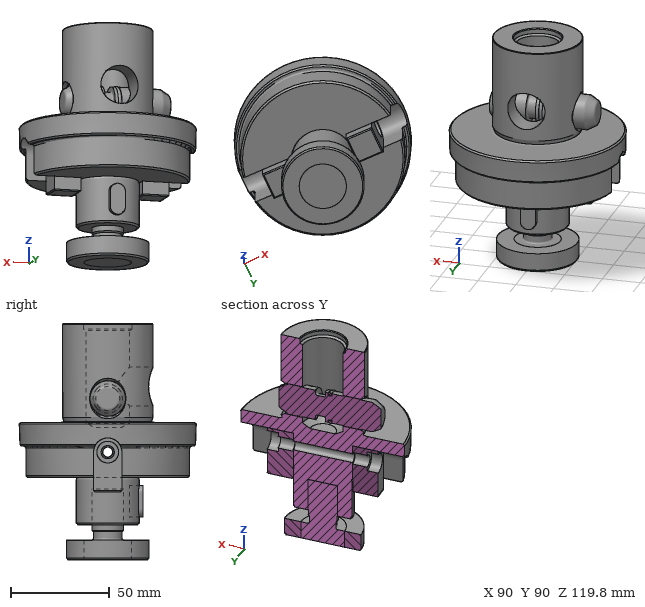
import cadquery as cq
import math

TOTAL_HEIGHT = 119.8
TOOL_OVERRUN = 12.0

HEAD_RADIUS = 21.0
HEAD_HEIGHT = 10.0
HEAD_CHAMFER_HEIGHT = 1.0
HEAD_CHAMFER_WIDTH = 0.7
SCREW_HEAD_RADIUS = 12.0
SCREW_NECK_RADIUS = 7.3
SCREW_NECK_FILLET = 1.0
SCREW_THREAD_RADIUS = 8.0
SCREW_THREAD_START_Z = 15.0
SCREW_END_Z = 35.9

SPIGOT_RADIUS = 16.0
SPIGOT_BOTTOM_Z = 17.7
SPIGOT_CHAMFER = 1.0
SPIGOT_RELIEF_HEIGHT = 1.2
SPIGOT_RELIEF_DEPTH = 0.4

BODY_RADIUS = 41.7
BODY_BOTTOM_Z = 41.7
BODY_CHAMFER = 1.0
FLANGE_BOTTOM_Z = 57.6
FLANGE_TOP_Z = 69.7
FLANGE_TOP_DIAMETER = 90.0
FLANGE_TOP_RADIUS = FLANGE_TOP_DIAMETER / 2
FLANGE_BOTTOM_RADIUS = 44.7
FLANGE_CHAMFER = 0.8
FLANGE_CORNER_RADIUS = 1.0

SHANK_RADIUS = 23.0
SHANK_TOP_CHAMFER = 0.4
SHANK_RELIEF_TOP_Z = 72.2
SHANK_RELIEF_DEPTH = 0.7
SHANK_FOOT_RADIUS = 23.8
SHANK_FOOT_HEIGHT = 0.4
BORE_RADIUS = 11.0
BORE_MOUTH_RADIUS = 12.3
BORE_MOUTH_DEPTH = 2.8
BORE_MOUTH_CHAMFER = 0.5
BORE_FLOOR_RADIUS = 7.0
BORE_CONE_TOP_Z = 69.5
BORE_CONE_SLOPE = 30.0

PIN_HOLE_MOUTH_RADIUS = 10.3
WINDOW_RADIUS = 9.8
WINDOW_Z = 87.9

PIN_Z = 81.8
PIN_RADIUS = 9.0
PIN_LEFT_X = -32.0
PIN_RIGHT_X = 24.1
PIN_END_RADIUS = 6.1
PIN_CONE_ANGLE = 30.0
PIN_END_FILLET = 1.8
PIN_SHOULDER_FILLET = 1.4
PIN_NECK_RADIUS = 6.1
PIN_NECK_LEFT_X = -1.3
PIN_NECK_RIGHT_X = 3.8
PIN_NECK_FILLET = 0.6

RING_X = -4.0
RING_WIRE_RADIUS = 1.0
RING_OUTER_RADIUS = 9.3

KEY_WIDTH = 14.4
KEY_INNER_X = 16.3
KEY_OUTER_X = 30.4
KEY_BOTTOM_Z = 34.5
KEY_CHAMFER = 0.6
KEY_HOLE_Z = 54.6
KEY_HOLE_RADIUS = 3.4
KEY_COUNTERBORE_RADIUS = 5.5
KEY_COUNTERBORE_DEPTH = 6.0
CROSS_HOLE_RADIUS = 2.5
KEY_ANGLES = (0, 180)

FEATHER_WIDTH = 8.0
FEATHER_LENGTH = 16.0
FEATHER_HEIGHT = 7.0
FEATHER_TOP_Y = 18.0
FEATHER_Z = 29.7

SELECTION_MARGIN = 0.01


def turned(points):
    """Solid of revolution about Z from (radius, height) points."""
    return cq.Workplane("XZ").polyline(points).close().revolve(360, (0, 0, 0), (0, 1, 0))


def turned_on_pin_axis(points):
    """Solid of revolution about the pin axis from (x, radius) points."""
    return (
        cq.Workplane("XZ", origin=(0, 0, PIN_Z))
        .polyline(points)
        .close()
        .revolve(360, (0, 0, 0), (1, 0, 0))
    )


def cylinder_x(radius, start_x, length, height):
    """Cylinder along +X whose axis lies at the given height."""
    return cq.Workplane("YZ", origin=(start_x, 0, height)).circle(radius).extrude(length)


def arched_block(inner_x, length):
    """Block of key width with a half-round top, reaching outward along +X."""
    half = KEY_WIDTH / 2
    return (
        cq.Workplane("YZ", origin=(inner_x, 0, 0))
        .moveTo(-half, KEY_BOTTOM_Z)
        .lineTo(half, KEY_BOTTOM_Z)
        .lineTo(half, KEY_HOLE_Z)
        .threePointArc((0, KEY_HOLE_Z + half), (-half, KEY_HOLE_Z))
        .close()
        .extrude(length)
    )


def make_feather_key():
    return (
        cq.Workplane("XZ", origin=(0, FEATHER_TOP_Y, FEATHER_Z))
        .slot2D(FEATHER_LENGTH, FEATHER_WIDTH, 90)
        .extrude(FEATHER_HEIGHT)
    )


def make_arbor_blank():
    """Turned outside of the arbor: spigot, body, flange and shank."""
    relief_radius = SPIGOT_RADIUS - SPIGOT_RELIEF_DEPTH
    corner_radius = BODY_RADIUS + FLANGE_CORNER_RADIUS
    corner_z = FLANGE_BOTTOM_Z - FLANGE_CORNER_RADIUS
    arc_offset = FLANGE_CORNER_RADIUS * (1 - math.sqrt(0.5))
    outline = (
        cq.Workplane("XZ")
        .moveTo(0, SPIGOT_BOTTOM_Z)
        .lineTo(SPIGOT_RADIUS - SPIGOT_CHAMFER, SPIGOT_BOTTOM_Z)
        .lineTo(SPIGOT_RADIUS, SPIGOT_BOTTOM_Z + SPIGOT_CHAMFER)
        .lineTo(SPIGOT_RADIUS, BODY_BOTTOM_Z - SPIGOT_RELIEF_HEIGHT)
        .lineTo(relief_radius, BODY_BOTTOM_Z)
        .lineTo(BODY_RADIUS - BODY_CHAMFER, BODY_BOTTOM_Z)
        .lineTo(BODY_RADIUS, BODY_BOTTOM_Z + BODY_CHAMFER)
        .lineTo(BODY_RADIUS, corner_z)
        .threePointArc(
            (BODY_RADIUS + arc_offset, FLANGE_BOTTOM_Z - arc_offset),
            (corner_radius, FLANGE_BOTTOM_Z),
        )
        .lineTo(FLANGE_BOTTOM_RADIUS - FLANGE_CHAMFER, FLANGE_BOTTOM_Z)
        .lineTo(FLANGE_BOTTOM_RADIUS, FLANGE_BOTTOM_Z + FLANGE_CHAMFER)
        .lineTo(FLANGE_TOP_RADIUS, FLANGE_TOP_Z - FLANGE_CHAMFER)
        .lineTo(FLANGE_TOP_RADIUS - FLANGE_CHAMFER, FLANGE_TOP_Z)
        .lineTo(SHANK_FOOT_RADIUS, FLANGE_TOP_Z)
        .lineTo(SHANK_RADIUS - SHANK_RELIEF_DEPTH, FLANGE_TOP_Z + SHANK_FOOT_HEIGHT)
        .lineTo(SHANK_RADIUS, SHANK_RELIEF_TOP_Z)
        .lineTo(SHANK_RADIUS, TOTAL_HEIGHT - SHANK_TOP_CHAMFER)
        .lineTo(SHANK_RADIUS - SHANK_TOP_CHAMFER, TOTAL_HEIGHT)
        .lineTo(0, TOTAL_HEIGHT)
        .close()
    )
    return outline.revolve(360, (0, 0, 0), (0, 1, 0))


def make_bore():
    """Blind bore with a conical floor edge and a wider, chamfered mouth."""
    slope = math.tan(math.radians(BORE_CONE_SLOPE))
    floor_z = BORE_CONE_TOP_Z - slope * (BORE_RADIUS - BORE_FLOOR_RADIUS)
    mouth_z = TOTAL_HEIGHT - BORE_MOUTH_DEPTH
    return turned([
        (0, floor_z),
        (BORE_FLOOR_RADIUS, floor_z),
        (BORE_RADIUS, BORE_CONE_TOP_Z),
        (BORE_RADIUS, mouth_z - slope * (BORE_MOUTH_RADIUS - BORE_RADIUS)),
        (BORE_MOUTH_RADIUS, mouth_z),
        (BORE_MOUTH_RADIUS, TOTAL_HEIGHT - BORE_MOUTH_CHAMFER),
        (BORE_MOUTH_RADIUS + BORE_MOUTH_CHAMFER, TOTAL_HEIGHT),
        (0, TOTAL_HEIGHT),
    ])


def make_arbor():
    arbor = make_arbor_blank().cut(make_bore())

    sink_depth = (PIN_HOLE_MOUTH_RADIUS - PIN_RADIUS) / math.tan(math.radians(PIN_CONE_ANGLE))
    pin_hole = turned_on_pin_axis([
        (-SHANK_RADIUS, 0),
        (-SHANK_RADIUS, PIN_HOLE_MOUTH_RADIUS),
        (-SHANK_RADIUS + sink_depth, PIN_RADIUS),
        (SHANK_RADIUS - sink_depth, PIN_RADIUS),
        (SHANK_RADIUS, PIN_HOLE_MOUTH_RADIUS),
        (SHANK_RADIUS, 0),
    ])
    arbor = arbor.cut(pin_hole)

    window = (
        cq.Workplane("XZ", origin=(0, 0, WINDOW_Z))
        .circle(WINDOW_RADIUS)
        .extrude(-(SHANK_RADIUS + TOOL_OVERRUN))
    )
    arbor = arbor.cut(window)

    slot = arched_block(KEY_INNER_X, FLANGE_TOP_RADIUS + TOOL_OVERRUN - KEY_INNER_X)
    for angle in KEY_ANGLES:
        arbor = arbor.cut(slot.rotate((0, 0, 0), (0, 0, 1), angle))
    arbor = arbor.cut(cylinder_x(CROSS_HOLE_RADIUS, -KEY_OUTER_X, 2 * KEY_OUTER_X, KEY_HOLE_Z))

    screw_hole = (
        cq.Workplane("XY", origin=(0, 0, SPIGOT_BOTTOM_Z))
        .circle(SCREW_THREAD_RADIUS)
        .extrude(SCREW_END_Z - SPIGOT_BOTTOM_Z)
    )
    return arbor.cut(screw_hole).cut(make_feather_key())


def make_drive_key(angle):
    """Drive key with a counterbored hole, turned about Z to its slot."""
    length = KEY_OUTER_X - KEY_INNER_X
    key = arched_block(KEY_INNER_X, length)
    key = key.faces("<Z").chamfer(KEY_CHAMFER)
    key = key.cut(cylinder_x(KEY_HOLE_RADIUS, KEY_INNER_X, length, KEY_HOLE_Z))
    counterbore_x = KEY_OUTER_X - KEY_COUNTERBORE_DEPTH
    key = key.cut(
        cylinder_x(KEY_COUNTERBORE_RADIUS, counterbore_x, KEY_COUNTERBORE_DEPTH, KEY_HOLE_Z)
    )
    return key.rotate((0, 0, 0), (0, 0, 1), angle)


def round_pin_edge(pin, edge_x, edge_radius, fillet):
    """Fillet the circular pin edge of the given radius at the given X."""
    reach = edge_radius + SELECTION_MARGIN
    box = cq.selectors.BoxSelector(
        (edge_x - SELECTION_MARGIN, -reach, PIN_Z - reach),
        (edge_x + SELECTION_MARGIN, reach, PIN_Z + reach),
        boundingbox=True,
    )
    return pin.edges("%CIRCLE").edges(box).fillet(fillet)


def make_pin():
    """Pin with conical ends, an O-ring groove and a narrow neck."""
    cone_length = (PIN_RADIUS - PIN_END_RADIUS) / math.tan(math.radians(PIN_CONE_ANGLE))
    groove_radius = RING_OUTER_RADIUS - 2 * RING_WIRE_RADIUS
    left_shoulder_x = PIN_LEFT_X + cone_length
    right_shoulder_x = PIN_RIGHT_X - cone_length
    pin = turned_on_pin_axis([
        (PIN_LEFT_X, 0),
        (PIN_LEFT_X, PIN_END_RADIUS),
        (left_shoulder_x, PIN_RADIUS),
        (RING_X - RING_WIRE_RADIUS, PIN_RADIUS),
        (RING_X - RING_WIRE_RADIUS, groove_radius),
        (RING_X + RING_WIRE_RADIUS, groove_radius),
        (RING_X + RING_WIRE_RADIUS, PIN_RADIUS),
        (PIN_NECK_LEFT_X, PIN_RADIUS),
        (PIN_NECK_LEFT_X, PIN_NECK_RADIUS),
        (PIN_NECK_RIGHT_X, PIN_NECK_RADIUS),
        (PIN_NECK_RIGHT_X, PIN_RADIUS),
        (right_shoulder_x, PIN_RADIUS),
        (PIN_RIGHT_X, PIN_END_RADIUS),
        (PIN_RIGHT_X, 0),
    ])
    for edge_x in (PIN_LEFT_X, PIN_RIGHT_X):
        pin = round_pin_edge(pin, edge_x, PIN_END_RADIUS, PIN_END_FILLET)
    for edge_x in (left_shoulder_x, right_shoulder_x):
        pin = round_pin_edge(pin, edge_x, PIN_RADIUS, PIN_SHOULDER_FILLET)
    for edge_x in (PIN_NECK_LEFT_X, PIN_NECK_RIGHT_X):
        pin = round_pin_edge(pin, edge_x, PIN_NECK_RADIUS, PIN_NECK_FILLET)
    return pin


def make_ring():
    """O-ring around the pin axis."""
    centre_radius = RING_OUTER_RADIUS - RING_WIRE_RADIUS
    return (
        cq.Workplane("XZ", origin=(0, 0, PIN_Z))
        .center(RING_X, centre_radius)
        .circle(RING_WIRE_RADIUS)
        .revolve(360, (0, -centre_radius, 0), (1, -centre_radius, 0))
    )


def make_screw():
    """Screw with a plain head, an undercut neck and a threaded end."""
    thread_chamfer = SCREW_THREAD_RADIUS - SCREW_NECK_RADIUS
    screw = turned([
        (0, 0),
        (SCREW_HEAD_RADIUS, 0),
        (SCREW_HEAD_RADIUS, HEAD_HEIGHT),
        (SCREW_NECK_RADIUS, HEAD_HEIGHT),
        (SCREW_NECK_RADIUS, SCREW_THREAD_START_Z - thread_chamfer),
        (SCREW_THREAD_RADIUS, SCREW_THREAD_START_Z),
        (SCREW_THREAD_RADIUS, SCREW_END_Z),
        (0, SCREW_END_Z),
    ])
    reach = SCREW_NECK_RADIUS + SELECTION_MARGIN
    neck_foot = cq.selectors.BoxSelector(
        (-reach, -reach, HEAD_HEIGHT - SELECTION_MARGIN),
        (reach, reach, HEAD_HEIGHT + SELECTION_MARGIN),
        boundingbox=True,
    )
    return screw.edges("%CIRCLE").edges(neck_foot).fillet(SCREW_NECK_FILLET)


def make_head_ring():
    """Ring that widens the screw head to its full diameter."""
    return turned([
        (SCREW_HEAD_RADIUS, 0),
        (HEAD_RADIUS - HEAD_CHAMFER_WIDTH, 0),
        (HEAD_RADIUS, HEAD_CHAMFER_HEIGHT),
        (HEAD_RADIUS, HEAD_HEIGHT),
        (SCREW_HEAD_RADIUS, HEAD_HEIGHT),
    ])


arbor = make_arbor()
drive_keys = [make_drive_key(angle) for angle in KEY_ANGLES]
feather_key = make_feather_key()
pin = make_pin()
ring = make_ring()
screw = make_screw()
head_ring = make_head_ring()

result = cq.Compound.makeCompound([
    arbor.val(),
    *[key.val() for key in drive_keys],
    feather_key.val(),
    pin.val(),
    ring.val(),
    screw.val(),
    head_ring.val(),
])